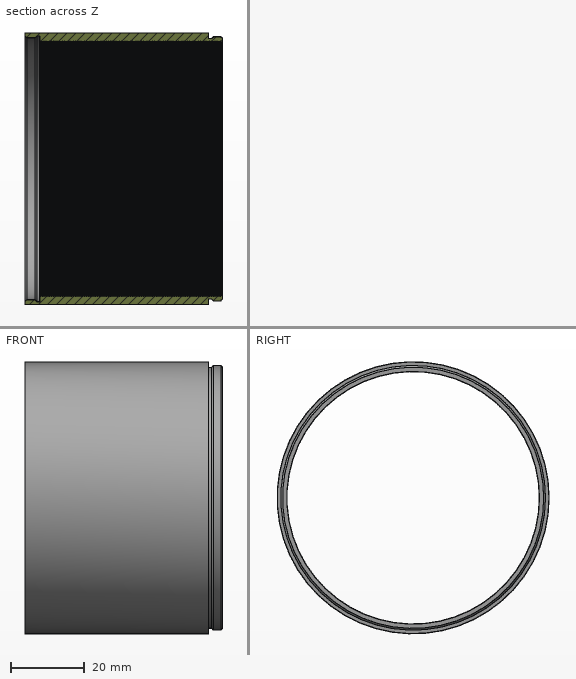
import cadquery as cq
import math

body_length = 50.0
body_diameter = 74.0

total_length = 53.8
neck_length = 0.8
neck_diameter = 71.0
male_diameter = 72.0

female_depth = 4.0
female_diameter = 71.25
undercut_diameter = 72.3
undercut_start = 2.8

bore_diameter = 68.61
groove_pitch = 0.5
groove_angle = 60.0
groove_count = 99

body_radius = body_diameter / 2
neck_radius = neck_diameter / 2
male_radius = male_diameter / 2
female_radius = female_diameter / 2
undercut_radius = undercut_diameter / 2
bore_radius = bore_diameter / 2
groove_depth = groove_pitch / 2 / math.tan(math.radians(groove_angle / 2))
male_start = body_length + neck_length
male_chamfer = male_radius - neck_radius
female_chamfer = undercut_radius - female_radius


def outer_points():
    """Outside of the wall, from the female end face to the male end face."""
    return [
        (0, body_radius),
        (body_length, body_radius),
        (body_length, neck_radius),
        (male_start, neck_radius),
        (male_start + male_chamfer, male_radius),
        (total_length - male_chamfer, male_radius),
        (total_length, neck_radius),
    ]


def female_points():
    """Female seat, from its mouth chamfer to the floor of the undercut."""
    return [
        (0, undercut_radius),
        (female_chamfer, female_radius),
        (undercut_start, female_radius),
        (undercut_start + female_chamfer, undercut_radius),
        (female_depth, undercut_radius),
    ]


def bore_points():
    """Grooved bore, from the female seat to the plain lip at the male end."""
    points = [(female_depth, bore_radius)]
    for index in range(groove_count):
        groove_start = female_depth + index * groove_pitch
        points.append((groove_start + groove_pitch / 2, bore_radius + groove_depth))
        points.append((groove_start + groove_pitch, bore_radius))
    points.append((total_length, bore_radius))
    return points


def make_tube():
    """Revolve the wall section about the X axis."""
    inner_points = female_points() + bore_points()
    section = outer_points() + inner_points[::-1]
    return cq.Workplane("XY").polyline(section).close().revolve(360, (0, 0, 0), (1, 0, 0))


result = make_tube()